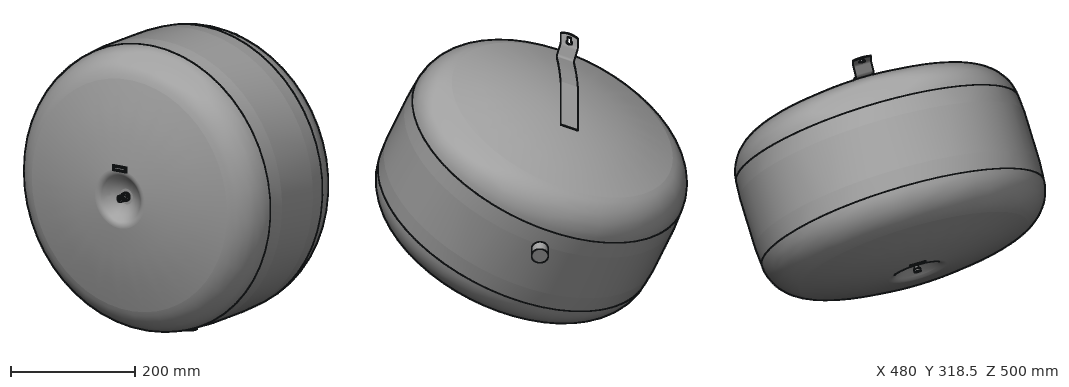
import cadquery as cq
import math


overall_height = 500.0
tank_radius = 240.0
belt_half_width = 43.0
shell_half_width = 72.5
shell_end_radius = 238.0

dome_apex = 159.0
dome_edge_radius = 193.0
dome_edge_offset = 130.0
knuckle_radius = 64.5
dome_rise = dome_apex - dome_edge_offset
dome_radius = (dome_edge_radius**2 + dome_rise**2) / (2 * dome_rise)

rim_radius = 49.0
bowl_mouth_radius = 37.5
bowl_floor_radius = 13.0
bowl_mouth_depth = 4.5
bowl_floor_depth = 18.5
bowl_sphere_radius = 47.0
rim_fillet = 14.5

collar_radius = 7.0
collar_height = 4.5
stem_radius = 3.5
stem_height = 9.0
cap_radius = 5.5
cap_height = 4.5
cap_hole_radius = 2.0
cap_hole_depth = 2.5

pipe_radius = 13.5
pipe_offset = 36.0
pipe_bottom = tank_radius - overall_height

plate_width = 27.0
plate_height = 9.0
plate_bottom = 46.0
plate_front = 157.5
plate_seat_depth = 4.0
panel_margin = 2.5
panel_depth = 0.5

bracket_width = 30.0
bracket_thickness = 1.5
foot_half_height = 61.0
strap_clearance = 1.5
bend_radius = 6.0
strap_top = 157.0
tab_bottom = 171.0
tab_top = 205.5
tab_crown = 6.0
keyhole_bottom = 175.5
keyhole_top = 195.0
keyhole_radius = 5.0
keyhole_slot_width = 6.0


def dome_height(radius, offset=0.0):
    """Distance from the tank middle to a dome, or to a surface lying `offset` outside it."""
    sphere_radius = dome_radius + offset
    return dome_apex - dome_radius + math.sqrt(sphere_radius**2 - radius**2)


def revolve_about_tank_axis(outline):
    return outline.close().revolve(360, (0, 0, 0), (0, 1, 0))


def make_shell():
    outline = cq.Workplane("YZ").polyline(
        [
            (-shell_half_width, 0),
            (-shell_half_width, shell_end_radius),
            (-belt_half_width, tank_radius),
            (belt_half_width, tank_radius),
            (shell_half_width, shell_end_radius),
            (shell_half_width, 0),
        ]
    )
    return outline.close().revolve(360, (0, 0, 0), (1, 0, 0))


def end_outline_to_dome(side):
    """Outline of a tank end from the axis out to the dome edge; `side` is the sign of Y."""
    return (
        cq.Workplane("XY")
        .moveTo(0, side * shell_half_width)
        .lineTo(-shell_end_radius, side * shell_half_width)
        .radiusArc((-dome_edge_radius, side * dome_edge_offset), side * knuckle_radius)
    )


def make_rear_end():
    outline = end_outline_to_dome(1).radiusArc((0, dome_apex), dome_radius)
    return revolve_about_tank_axis(outline)


rim_height = dome_height(rim_radius)
bowl_floor = bowl_floor_depth - rim_height


def make_front_end():
    outline = (
        end_outline_to_dome(-1)
        .radiusArc((-rim_radius, -rim_height), -dome_radius)
        .radiusArc((-bowl_mouth_radius, bowl_mouth_depth - rim_height), -rim_fillet)
        .radiusArc((-bowl_floor_radius, bowl_floor), bowl_sphere_radius)
        .lineTo(0, bowl_floor)
    )
    return revolve_about_tank_axis(outline)


def make_valve_disc(radius, start, height):
    """Round valve part whose back face lies `start` in front of the bowl floor."""
    return cq.Workplane("XZ", origin=(0, bowl_floor - start, 0)).circle(radius).extrude(height)


def make_valve_cap():
    """Cap on the end of the stem, with a blind hole in its front face."""
    cap = make_valve_disc(cap_radius, collar_height + stem_height, cap_height)
    return cap.faces("<Y").workplane().hole(2 * cap_hole_radius, cap_hole_depth)


def make_pipe(shell):
    pipe = (
        cq.Workplane("XY", origin=(0, pipe_offset, pipe_bottom))
        .circle(pipe_radius)
        .extrude(-pipe_bottom - tank_radius / 2)
    )
    return pipe.cut(shell)


def make_rating_plate(front_end):
    """Thin plate with a raised panel, its back shaped to the dome it sits on."""
    plane = cq.Workplane("XZ", origin=(0, -plate_front, plate_bottom + plate_height / 2))
    plate = plane.rect(plate_width, plate_height).extrude(-plate_seat_depth)
    panel_width = plate_width - 2 * panel_margin
    panel_height = plate_height - 2 * panel_margin
    panel = plane.rect(panel_width, panel_height).extrude(panel_depth)
    return plate.union(panel).cut(front_end)


def round_edge(body, y, z, radius):
    """Round the edge of `body` that runs along X through the given point."""
    return body.edges(cq.NearestToPointSelector((0, y, z))).fillet(radius)


def crowned_blank():
    """Block as wide as the bracket, with the arched top of the tab."""
    half_width = bracket_width / 2
    shoulder = tab_top - tab_crown
    return (
        cq.Workplane("XZ")
        .moveTo(-half_width, -foot_half_height)
        .lineTo(-half_width, shoulder)
        .threePointArc((0, tab_top), (half_width, shoulder))
        .lineTo(half_width, -foot_half_height)
        .close()
        .extrude(-2 * dome_apex)
    )


def make_keyhole():
    """Round hole with a narrower slot rising from it, as a cutter through the tab."""
    cut_depth = 2 * bracket_thickness
    hole_center = keyhole_bottom + keyhole_radius
    slot_height = keyhole_top - hole_center
    plane = cq.Workplane("XZ", origin=(0, dome_apex + cut_depth, hole_center))
    hole = plane.circle(keyhole_radius).extrude(2 * cut_depth)
    slot = plane.center(0, slot_height / 2).rect(keyhole_slot_width, slot_height).extrude(2 * cut_depth)
    return hole.union(slot)


def make_bracket():
    """Bent strip: a flat foot on the dome apex, a strap along the dome and an upright tab."""
    front = dome_apex
    back = front + bracket_thickness
    outer_offset = strap_clearance + bracket_thickness
    strap_front = dome_height(strap_top, strap_clearance)
    strap_back = dome_height(strap_top, outer_offset)
    bracket = (
        cq.Workplane("YZ")
        .moveTo(front, -foot_half_height)
        .lineTo(front, foot_half_height)
        .radiusArc((strap_front, strap_top), -dome_radius - strap_clearance)
        .lineTo(front, tab_bottom)
        .lineTo(front, tab_top)
        .lineTo(back, tab_top)
        .lineTo(back, tab_bottom)
        .lineTo(strap_back, strap_top)
        .radiusArc((back, foot_half_height), dome_radius + outer_offset)
        .lineTo(back, -foot_half_height)
        .close()
        .extrude(bracket_width / 2, both=True)
    )
    outer_bend_radius = bend_radius + bracket_thickness
    bracket = round_edge(bracket, strap_front, strap_top, outer_bend_radius)
    bracket = round_edge(bracket, strap_back, strap_top, bend_radius)
    bracket = round_edge(bracket, front, tab_bottom, bend_radius)
    bracket = round_edge(bracket, back, tab_bottom, outer_bend_radius)
    return bracket.intersect(crowned_blank()).cut(make_keyhole())


shell = make_shell()
rear_end = make_rear_end()
front_end = make_front_end()
pipe = make_pipe(shell)
rating_plate = make_rating_plate(front_end)
bracket = make_bracket()
valve_collar = make_valve_disc(collar_radius, 0, collar_height)
valve_stem = make_valve_disc(stem_radius, collar_height, stem_height)
valve_cap = make_valve_cap()

result = cq.Compound.makeCompound(
    [
        shell.val(),
        rear_end.val(),
        front_end.val(),
        pipe.val(),
        rating_plate.val(),
        bracket.val(),
        valve_collar.val(),
        valve_stem.val(),
        valve_cap.val(),
    ]
)